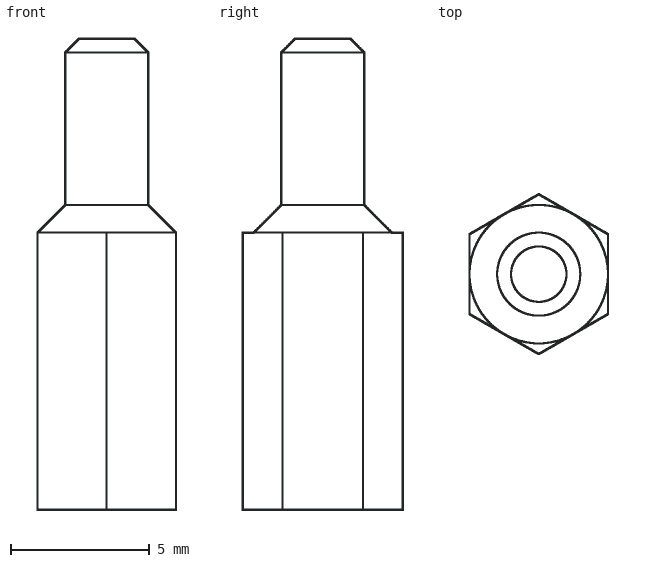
import cadquery as cq
import math

hex_sides = 6
across_flats = 5.0
hex_length = 10.0
hex_turn = 90.0
total_length = 17.0
stud_diameter = 3.0
stud_tip_chamfer = 0.5
shoulder_angle = 45.0

across_corners = across_flats / math.cos(math.pi / hex_sides)
stud_radius = stud_diameter / 2
shoulder_radius = across_flats / 2
shoulder_height = (shoulder_radius - stud_radius) * math.tan(math.radians(shoulder_angle))
shoulder_top = hex_length + shoulder_height
tip_radius = stud_radius - stud_tip_chamfer


def make_hex_body():
    """Hexagonal spacer standing on Z = 0, with flats facing +X and -X."""
    return (
        cq.Workplane("XY")
        .transformed(rotate=(0, 0, hex_turn))
        .polygon(hex_sides, across_corners)
        .extrude(hex_length)
    )


def make_stud():
    """Conical shoulder and chamfered stud, revolved about the Z axis."""
    return (
        cq.Workplane("XZ")
        .moveTo(0, hex_length)
        .lineTo(shoulder_radius, hex_length)
        .lineTo(stud_radius, shoulder_top)
        .lineTo(stud_radius, total_length - stud_tip_chamfer)
        .lineTo(tip_radius, total_length)
        .lineTo(0, total_length)
        .close()
        .revolve(360, (0, 0, 0), (0, 1, 0))
    )


result = make_hex_body().union(make_stud())